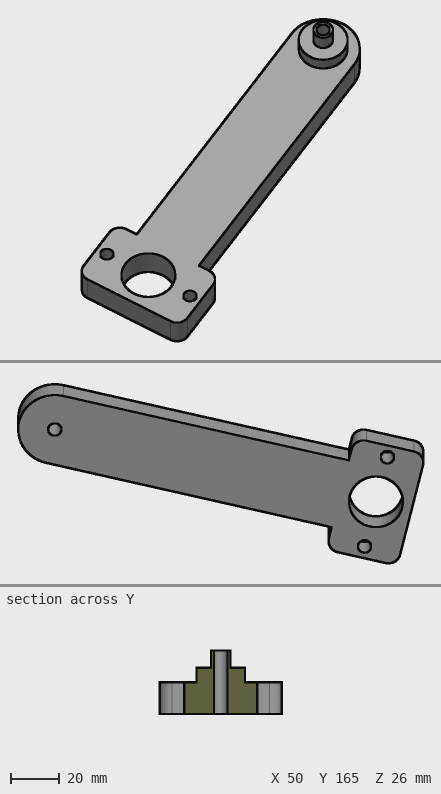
import cadquery as cq

head_width = 50.0
head_length = 30.0
head_corner_radius = 5.0
plate_thickness = 13.0

arm_width = 30.0
pivot_distance = 135.0

bore_diameter = 22.0
screw_hole_diameter = 5.4
screw_hole_offset = 20.0

shoulder_diameter = 20.0
shoulder_height = 6.0
pin_diameter = 8.0
pin_height = 7.0
pivot_hole_diameter = 5.4

shoulder_top = plate_thickness + shoulder_height
total_height = shoulder_top + pin_height


def cylinder(diameter, bottom, height, x=0.0, y=0.0):
    """Upright cylinder standing on the level `bottom`."""
    return (
        cq.Workplane("XY", origin=(x, y, bottom))
        .circle(diameter / 2)
        .extrude(height)
    )


def make_head():
    return (
        cq.Workplane("XY")
        .rect(head_width, head_length)
        .extrude(plate_thickness)
        .edges("|Z")
        .fillet(head_corner_radius)
    )


def make_arm():
    half_width = arm_width / 2
    return (
        cq.Workplane("XY")
        .moveTo(-half_width, 0)
        .lineTo(half_width, 0)
        .lineTo(half_width, pivot_distance)
        .threePointArc((0, pivot_distance + half_width), (-half_width, pivot_distance))
        .close()
        .extrude(plate_thickness)
    )


def add_pivot(body):
    shoulder = cylinder(shoulder_diameter, plate_thickness, shoulder_height, y=pivot_distance)
    pin = cylinder(pin_diameter, shoulder_top, pin_height, y=pivot_distance)
    pivot_hole = cylinder(pivot_hole_diameter, 0, total_height, y=pivot_distance)
    return body.union(shoulder).union(pin).cut(pivot_hole)


def cut_head_holes(body):
    body = body.cut(cylinder(bore_diameter, 0, plate_thickness))
    for x in (-screw_hole_offset, screw_hole_offset):
        body = body.cut(cylinder(screw_hole_diameter, 0, plate_thickness, x=x))
    return body


plate = make_head().union(make_arm())
result = cut_head_holes(add_pivot(plate))